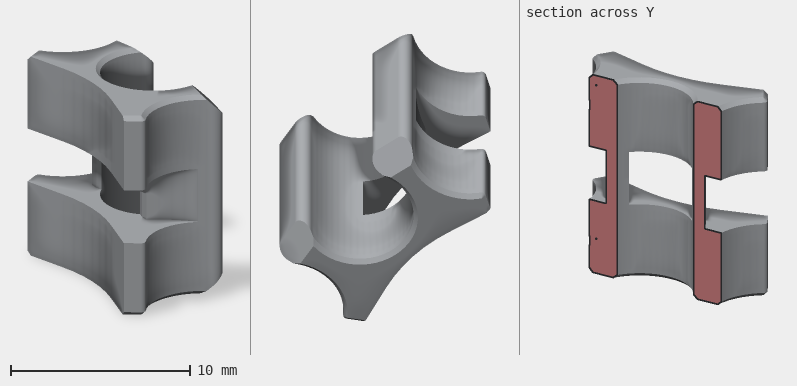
import cadquery as cq
import math

height = 12.0
foot_corner = (5.23, -5.08)
foot_tip_y = -4.07
foot_tip_radius = 0.25
bore_radius = 3.0

side_radius = 3.25
side_waist = (4.39, -1.35)
side_center_x = side_waist[0] + side_radius

front_arc_half_width = 2.59
front_slope = math.radians(15.5)
front_arc_radius = front_arc_half_width / math.sin(front_slope)
front_arc_end_y = foot_corner[1] + (foot_corner[0] - front_arc_half_width) * math.tan(front_slope)
front_apex_y = front_arc_end_y + front_arc_radius * (1 - math.cos(front_slope))

prong_end_y = 2.47
prong_slope = math.radians(11)
prong_corner_radius = 0.5
prong_bevel = 1.25
edge_chamfer = 0.24

slot_height = 3.19
slot_side_radius = 7.8
slot_outer = (4.63, 0.04)
slot_shoulder = (2.95, -2.25)
slot_step = (2.47, -2.25)
slot_inner = (1.99, -2.11)

clearance = 12.0


def prong_line_y(x):
    return prong_end_y - abs(x) * math.tan(prong_slope)


def side_wall_x(y):
    """X of the concave side wall at a given Y."""
    return side_center_x - math.sqrt(side_radius**2 - (y - side_waist[1])**2)


def outer_corner():
    """Sharp corner where the prong end meets the side wall, found by repeated substitution."""
    refinements = 40
    x = side_waist[0]
    for _ in range(refinements):
        x = side_wall_x(prong_line_y(x))
    return x, prong_line_y(x)


def both_sides(solid):
    return solid.union(solid.mirror("YZ"))


def arc_middle(start, end, radius):
    """Middle of the minor arc that bulges to the left of the line from start to end."""
    dx = end[0] - start[0]
    dy = end[1] - start[1]
    chord = math.hypot(dx, dy)
    bulge = radius - math.sqrt(radius**2 - (chord / 2)**2)
    return (
        (start[0] + end[0]) / 2 - dy / chord * bulge,
        (start[1] + end[1]) / 2 + dx / chord * bulge,
    )


def body():
    prong_corner = outer_corner()
    side_end = (side_wall_x(foot_tip_y), foot_tip_y)
    half = (
        cq.Workplane("XY", origin=(0, 0, -height / 2))
        .moveTo(0, prong_end_y)
        .lineTo(*prong_corner)
        .threePointArc(side_waist, side_end)
        .lineTo(*foot_corner)
        .lineTo(front_arc_half_width, front_arc_end_y)
        .threePointArc(
            (
                front_arc_radius * math.sin(front_slope / 2),
                front_apex_y - front_arc_radius * (1 - math.cos(front_slope / 2)),
            ),
            (0, front_apex_y),
        )
        .close()
        .extrude(height)
    )
    half = half.edges(cq.selectors.NearestToPointSelector((*side_end, 0))).fillet(foot_tip_radius)
    bore = cq.Workplane("XY").circle(bore_radius).extrude(height, both=True)
    return both_sides(half).cut(bore)


def has_chamfer(edge):
    """True for every end-face edge except those of the front face."""
    center = edge.Center()
    return center.y > front_apex_y or abs(center.x) > foot_corner[0]


def chamfer_end_faces(part):
    return part.faces("|Z").edges().filter(has_chamfer).chamfer(edge_chamfer)


def prong_bevel_cutter():
    """Wedges above the 45 degree planes that bevel the +X prong at both Z ends."""
    bevel_start = height / 2 - prong_bevel
    end_plane = cq.Plane(
        origin=(0, prong_end_y, 0),
        xDir=(math.sin(prong_slope), math.cos(prong_slope), 0),
        normal=(math.cos(prong_slope), -math.sin(prong_slope), 0),
    )
    wedge = (
        cq.Workplane(end_plane)
        .moveTo(0, bevel_start)
        .lineTo(-clearance, bevel_start + clearance)
        .lineTo(clearance, bevel_start + clearance)
        .lineTo(clearance, bevel_start)
        .close()
        .extrude(clearance)
    )
    return wedge.union(wedge.mirror("XY"))


def round_prongs(part):
    behind_side_walls = prong_line_y(side_center_x)
    corners = part.edges("|Z").filter(lambda edge: edge.Center().y > behind_side_walls)
    return corners.fillet(prong_corner_radius)


def slot_cutter():
    """Cross slot on the +X side, reaching forward past the feet."""
    return (
        cq.Workplane("XY", origin=(0, 0, -slot_height / 2))
        .moveTo(0, slot_inner[1])
        .lineTo(*slot_inner)
        .lineTo(*slot_step)
        .lineTo(*slot_shoulder)
        .threePointArc(arc_middle(slot_shoulder, slot_outer, slot_side_radius), slot_outer)
        .lineTo(clearance, slot_outer[1])
        .lineTo(clearance, -clearance)
        .lineTo(0, -clearance)
        .close()
        .extrude(slot_height)
    )


result = chamfer_end_faces(body())
result = result.cut(both_sides(prong_bevel_cutter()))
result = round_prongs(result)
result = result.cut(both_sides(slot_cutter()))